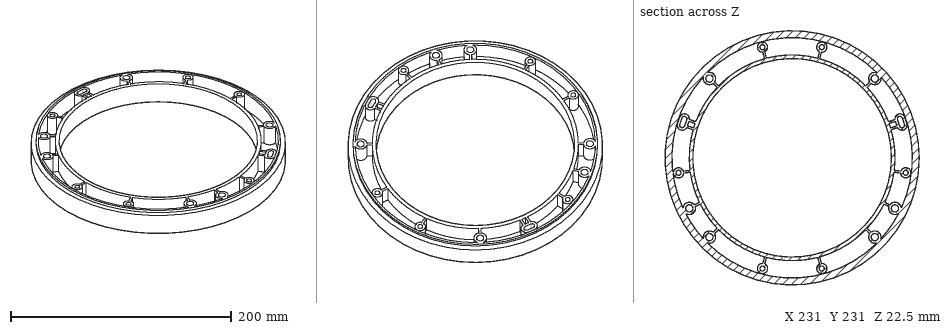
import cadquery as cq

OUTER_DIAMETER = 231.0
BORE_DIAMETER = 180.0
TOTAL_HEIGHT = 22.5

LIP_OUTER_DIAMETER = 222.0
LIP_HEIGHT = 2.5

RECESS_DIAMETER = 225.0
RECESS_DEPTH = LIP_HEIGHT

CHANNEL_OUTER_DIAMETER = 218.0
INNER_WALL = 3.5
FLOOR_THICKNESS = 2.0

BOLT_CIRCLE_RADIUS = 104.0
SMALL_HOLE = 4.4
LARGE_HOLE = 6.4
BOSS_WALL = 2.5
SMALL_HOLE_ANGLES = (75.0, -7.5, -75.0)
LARGE_HOLE_ANGLES = (43.8, -26.2, -43.8)

SLOT_ANGLE = 18.2
SLOT_WIDTH = SMALL_HOLE
SLOT_CENTRE_DISTANCE = 6.0

RIB_THICKNESS = 2.0
SLOT_RIB_OFFSET = SLOT_CENTRE_DISTANCE / 2

CHANNEL_INNER_DIAMETER = BORE_DIAMETER + 2 * INNER_WALL
SHOULDER_HEIGHT = TOTAL_HEIGHT - LIP_HEIGHT
FLOOR_TOP = RECESS_DEPTH + FLOOR_THICKNESS
CHANNEL_DEPTH = TOTAL_HEIGHT - FLOOR_TOP
POST_HEIGHT = TOTAL_HEIGHT - RECESS_DEPTH


def mirrored(angles):
    """Angles of the right half followed by their mirror images in the left half."""
    return [*angles, *(180.0 - angle for angle in angles)]


def ring(outer_diameter, inner_diameter, bottom, height):
    profile = cq.Workplane("XY").workplane(offset=bottom).circle(outer_diameter / 2)
    return profile.circle(inner_diameter / 2).extrude(height)


def placed(shape, angle):
    """Turn a shape built on the +X axis to its angle around the ring."""
    return shape.rotate((0, 0, 0), (0, 0, 1), angle)


def recess_plane(x, y):
    """Workplane on the recess roof, centred at x, y."""
    return cq.Workplane("XY").workplane(offset=RECESS_DEPTH).center(x, y)


def round_post(diameter):
    return recess_plane(BOLT_CIRCLE_RADIUS, 0).circle(diameter / 2).extrude(POST_HEIGHT)


def slot_post(width):
    outline = recess_plane(BOLT_CIRCLE_RADIUS, 0).slot2D(SLOT_CENTRE_DISTANCE + width, width, 90)
    return outline.extrude(POST_HEIGHT)


def rib(offset):
    """Rib from the middle of the inner wall to the bolt circle."""
    start = (BORE_DIAMETER + INNER_WALL) / 2
    length = BOLT_CIRCLE_RADIUS - start
    outline = recess_plane(start + length / 2, offset).rect(length, RIB_THICKNESS)
    return outline.extrude(POST_HEIGHT)


def channel_ring():
    body = ring(OUTER_DIAMETER, BORE_DIAMETER, 0, SHOULDER_HEIGHT)
    body = body.union(ring(LIP_OUTER_DIAMETER, BORE_DIAMETER, SHOULDER_HEIGHT, LIP_HEIGHT))
    body = body.cut(ring(RECESS_DIAMETER, BORE_DIAMETER, 0, RECESS_DEPTH))
    return body.cut(ring(CHANNEL_OUTER_DIAMETER, CHANNEL_INNER_DIAMETER, FLOOR_TOP, CHANNEL_DEPTH))


def add_bosses(body, angles, boss, hole, rib_offsets):
    """Add a ribbed boss at each angle and pierce it right through the floor."""
    for rib_offset in rib_offsets:
        boss = boss.union(rib(rib_offset))
    for angle in mirrored(angles):
        body = body.union(placed(boss, angle)).cut(placed(hole, angle))
    return body


result = channel_ring()
for hole_diameter, hole_angles in ((SMALL_HOLE, SMALL_HOLE_ANGLES), (LARGE_HOLE, LARGE_HOLE_ANGLES)):
    round_boss = round_post(hole_diameter + 2 * BOSS_WALL)
    result = add_bosses(result, hole_angles, round_boss, round_post(hole_diameter), [0])

slot_boss = slot_post(SLOT_WIDTH + 2 * BOSS_WALL)
slot_rib_offsets = [-SLOT_RIB_OFFSET, SLOT_RIB_OFFSET]
result = add_bosses(result, [SLOT_ANGLE], slot_boss, slot_post(SLOT_WIDTH), slot_rib_offsets)